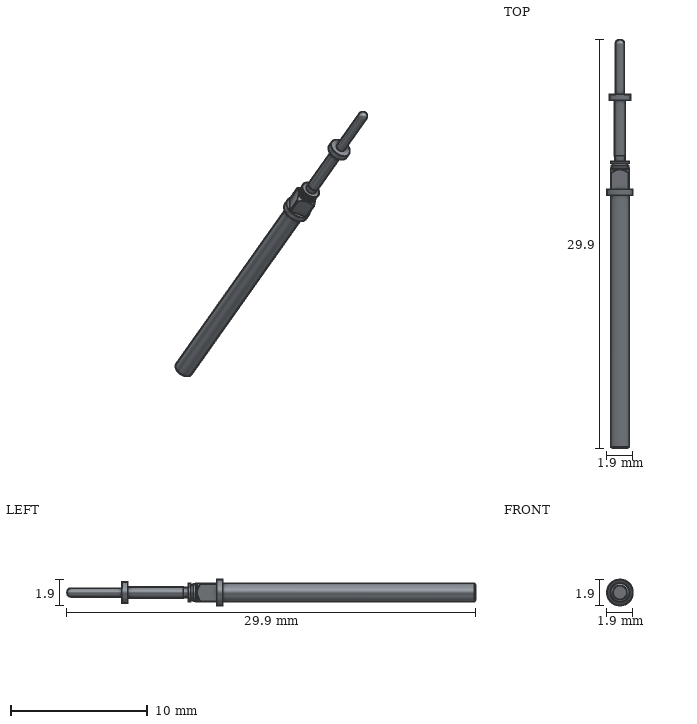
import cadquery as cq

total_length = 29.9

collar_start = 4.0
collar_end = 4.45
shank_end = 8.5
disc_start = 8.88
disc_end = 9.05
groove_step = 9.25
groove_end = 9.42
bevel_start = 9.5
flange_start = 10.95
flange_end = 11.4

pin_diameter = 0.65
collar_diameter = 1.55
shank_diameter = 0.8
neck_diameter = 0.75
barrel_diameter = 1.38
groove_floor_diameter = 1.15
groove_step_diameter = 1.25
flange_diameter = 1.9

tip_radius = 0.3
square_corner_diameter = 1.85
tail_chamfer_length = 0.12
tail_chamfer_depth = 0.18


def station(distance):
    """Y coordinate of a point at the given distance from the pin tip."""
    return total_length / 2 - distance


def cylinder(diameter, start, end):
    """Round section between two stations."""
    plane = cq.Workplane("XZ", origin=(0, station(start), 0))
    return plane.circle(diameter / 2).extrude(end - start)


def make_pin():
    """Slim contact pin with a rounded tip."""
    return cylinder(pin_diameter, 0, collar_start).faces(">Y").edges().fillet(tip_radius)


def make_square():
    """Square section whose corners are rounded and bevelled at 45 degrees toward the pin."""
    front_radius = barrel_diameter / 2
    corner_radius = square_corner_diameter / 2
    bevel_end = bevel_start + corner_radius - front_radius
    envelope = (
        cq.Workplane("XY")
        .moveTo(0, station(groove_end))
        .lineTo(front_radius, station(groove_end))
        .lineTo(front_radius, station(bevel_start))
        .lineTo(corner_radius, station(bevel_end))
        .lineTo(corner_radius, station(flange_start))
        .lineTo(0, station(flange_start))
        .close()
        .revolve(360, (0, 0, 0), (0, 1, 0))
    )
    bar = (
        cq.Workplane("XZ", origin=(0, station(groove_end), 0))
        .rect(barrel_diameter, barrel_diameter)
        .extrude(flange_start - groove_end)
    )
    return envelope.intersect(bar)


def make_barrel():
    """Long barrel with a chamfered tail end."""
    barrel = cylinder(barrel_diameter, flange_end, total_length)
    return barrel.faces("<Y").chamfer(tail_chamfer_length, tail_chamfer_depth)


round_sections = [
    (collar_diameter, collar_start, collar_end),
    (shank_diameter, collar_end, shank_end),
    (neck_diameter, shank_end, disc_start),
    (barrel_diameter, disc_start, disc_end),
    (groove_floor_diameter, disc_end, groove_step),
    (groove_step_diameter, groove_step, groove_end),
    (flange_diameter, flange_start, flange_end),
]

result = make_pin()
for diameter, start, end in round_sections:
    result = result.union(cylinder(diameter, start, end))
result = result.union(make_square()).union(make_barrel())